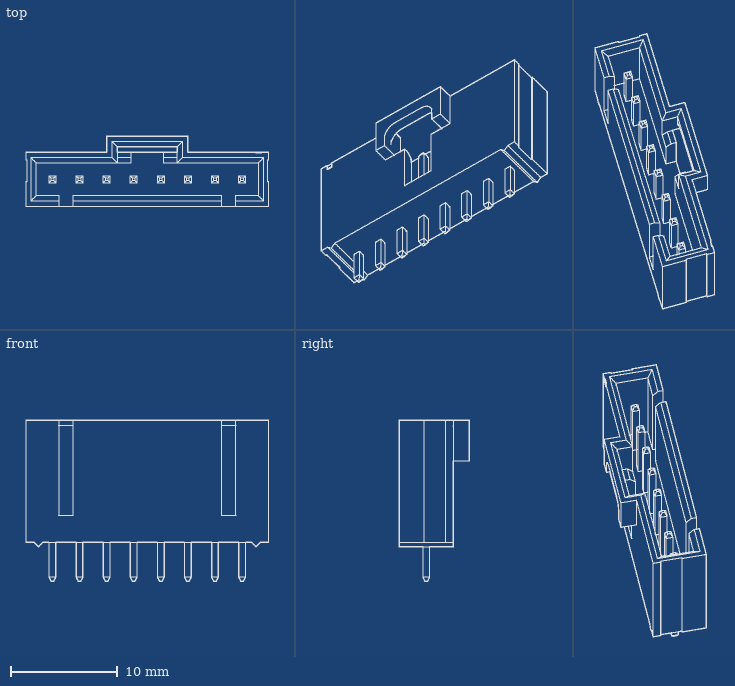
import cadquery as cq

PIN_COUNT = 8
PITCH = 2.54
PIN_WIDTH = 0.65
PIN_TIP_WIDTH = 0.25
PIN_TAPER = 0.4
PIN_TAIL = 3.66
PIN_TOP = 9.0

LENGTH = 22.78
DEPTH = 5.1
HEIGHT = 11.45
FLOOR = 2.54
END_WALL = 0.98
SIDE_WALL = 1.02
LEAD_IN = 0.51

KEY_WIDTH = 3 * PITCH
KEY_PROJECTION = 1.5
KEY_BOTTOM = 3 * PITCH
KEY_WINDOW_TOP = 10.0
KEY_WINDOW_RADIUS = 1.3
BACK_SLOT_WIDTH = 3.07

FRONT_SLOT_WIDTH = 1.31
FRONT_SLOT_OFFSET = 3 * PITCH

RECESS_DEPTH = 0.1
RECESS_Y_MIN = -0.22
RECESS_Y_MAX = 1.8

MARK_X = 10.45
MARK_SIZE = 0.52
MARK_DEPTH = 0.07

RIB_OFFSET = 10.2
RIB_WIDTH = 0.84
RIB_HEIGHT = 0.42

BACK_Y = DEPTH / 2
FRONT_Y = -DEPTH / 2
KEY_BACK_Y = BACK_Y + KEY_PROJECTION
CAVITY_LENGTH = LENGTH - 2 * END_WALL
CAVITY_DEPTH = DEPTH - 2 * SIDE_WALL
KEY_INNER_WIDTH = KEY_WIDTH - 2 * SIDE_WALL
KEY_INNER_BACK_Y = KEY_BACK_Y - SIDE_WALL


def box(x_min, x_max, y_min, y_max, z_min, z_max):
    """Block given by its limits along each axis."""
    size = (x_max - x_min, y_max - y_min, z_max - z_min)
    return cq.Workplane("XY").box(*size, centered=False).translate((x_min, y_min, z_min))


def centred_box(width, y_min, y_max, z_min, z_max, x=0):
    """Block that is symmetric about the given X position."""
    return box(x - width / 2, x + width / 2, y_min, y_max, z_min, z_max)


def frustum(bottom_width, bottom_depth, growth, y, z_bottom, height):
    """Upright block whose every side moves outward by `growth` over its height."""
    return (
        cq.Workplane("XY", origin=(0, y, z_bottom))
        .rect(bottom_width, bottom_depth)
        .workplane(offset=height)
        .rect(bottom_width + 2 * growth, bottom_depth + 2 * growth)
        .loft(ruled=True)
    )


def flared_pocket(width, y_min, y_max, z_bottom, z_top):
    """Pocket with a 45-degree lead-in at its mouth."""
    straight = centred_box(width, y_min, y_max, z_bottom, z_top)
    mouth = frustum(width, y_max - y_min, LEAD_IN, (y_min + y_max) / 2, z_top - LEAD_IN, LEAD_IN)
    return straight.union(mouth)


def make_shell():
    """Outer block with the key projecting from its +Y wall."""
    body = centred_box(LENGTH, FRONT_Y, BACK_Y, 0, HEIGHT)
    key = centred_box(KEY_WIDTH, BACK_Y - SIDE_WALL, KEY_BACK_Y, KEY_BOTTOM, HEIGHT)
    return body.union(key)


def cut_cavity(housing):
    """Open the main cavity and the key pocket, which joins it from the +Y side."""
    half_depth = CAVITY_DEPTH / 2
    upper = flared_pocket(CAVITY_LENGTH, -half_depth, half_depth, KEY_BOTTOM, HEIGHT)
    key_pocket = flared_pocket(KEY_INNER_WIDTH, 0, KEY_INNER_BACK_Y, KEY_BOTTOM, HEIGHT)
    lower = centred_box(CAVITY_LENGTH, -half_depth, half_depth, FLOOR, KEY_BOTTOM)
    return housing.cut(lower).cut(upper).cut(key_pocket)


def cut_back_wall(housing):
    """Bevel the low wall under the key, slot it, and open a window in the key."""
    inner_y = CAVITY_DEPTH / 2
    bevel = (
        cq.Workplane("YZ", origin=(-KEY_INNER_WIDTH / 2, 0, 0))
        .moveTo(inner_y, KEY_BOTTOM)
        .lineTo(inner_y + LEAD_IN, KEY_BOTTOM)
        .lineTo(inner_y, KEY_BOTTOM - LEAD_IN)
        .close()
        .extrude(KEY_INNER_WIDTH)
    )
    slot = centred_box(BACK_SLOT_WIDTH, 0, BACK_Y, FLOOR, KEY_BOTTOM)
    window = (
        centred_box(KEY_INNER_WIDTH, BACK_Y, KEY_BACK_Y, KEY_BOTTOM, KEY_WINDOW_TOP)
        .edges("|Y and >Z")
        .fillet(KEY_WINDOW_RADIUS)
    )
    return housing.cut(bevel).cut(slot).cut(window)


def cut_front_slots(housing):
    """Two slots from the rim of the -Y wall down to the cavity floor."""
    for side in (-1, 1):
        x = side * FRONT_SLOT_OFFSET
        housing = housing.cut(centred_box(FRONT_SLOT_WIDTH, FRONT_Y, 0, FLOOR, HEIGHT, x))
    return housing


def cut_end_recesses(housing):
    """Full-height shallow recess in each end face."""
    for side in (-1, 1):
        x = side * LENGTH / 2
        housing = housing.cut(centred_box(2 * RECESS_DEPTH, RECESS_Y_MIN, RECESS_Y_MAX, 0, HEIGHT, x))
    return housing


def cut_mark(housing):
    """Shallow square mark in the outside of the +Y wall, open at the rim."""
    mark = centred_box(MARK_SIZE, BACK_Y - MARK_DEPTH, BACK_Y, HEIGHT - MARK_SIZE, HEIGHT, MARK_X)
    return housing.cut(mark)


def add_ribs(housing):
    """Triangular ribs running across the underside near each end."""
    for side in (-1, 1):
        x = side * RIB_OFFSET
        rib = (
            cq.Workplane("XZ", origin=(0, BACK_Y, 0))
            .moveTo(x - RIB_WIDTH / 2, 0)
            .lineTo(x + RIB_WIDTH / 2, 0)
            .lineTo(x, -RIB_HEIGHT)
            .close()
            .extrude(DEPTH)
        )
        housing = housing.union(rib)
    return housing


def make_pin():
    """Square contact on the Z axis, tapered at both ends."""
    shank_bottom = PIN_TAPER - PIN_TAIL
    shank_top = PIN_TOP - PIN_TAPER
    growth = (PIN_WIDTH - PIN_TIP_WIDTH) / 2
    shank = centred_box(PIN_WIDTH, -PIN_WIDTH / 2, PIN_WIDTH / 2, shank_bottom, shank_top)
    tail_tip = frustum(PIN_TIP_WIDTH, PIN_TIP_WIDTH, growth, 0, -PIN_TAIL, PIN_TAPER)
    mating_tip = frustum(PIN_WIDTH, PIN_WIDTH, -growth, 0, shank_top, PIN_TAPER)
    return shank.union(tail_tip).union(mating_tip)


def add_pins(housing):
    """Row of contacts along X, centred on the housing."""
    pin = make_pin()
    first_x = -(PIN_COUNT - 1) * PITCH / 2
    for index in range(PIN_COUNT):
        housing = housing.union(pin.translate((first_x + index * PITCH, 0, 0)))
    return housing


connector = make_shell()
connector = cut_cavity(connector)
connector = cut_back_wall(connector)
connector = cut_front_slots(connector)
connector = cut_end_recesses(connector)
connector = cut_mark(connector)
connector = add_ribs(connector)
connector = add_pins(connector)

result = connector